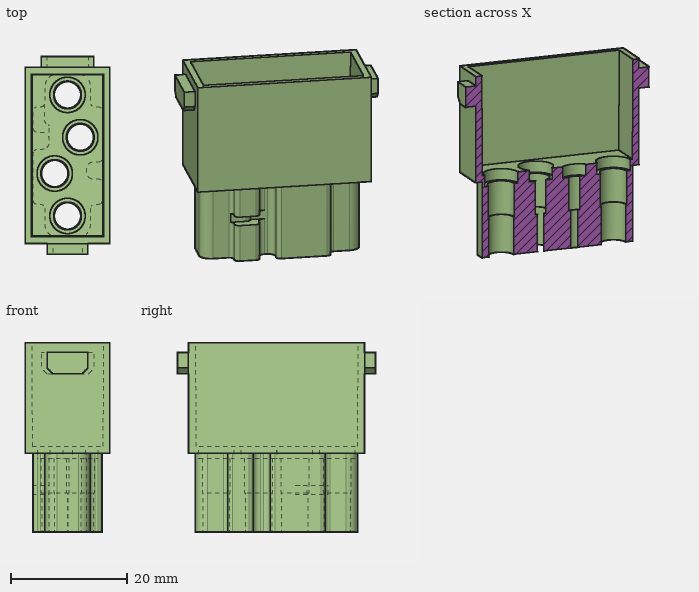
import cadquery as cq
import math


BODY_X = 14.6
OVERALL_Y = 34.1
TAB_REACH = 1.87
BODY_Y = OVERALL_Y - 2 * TAB_REACH
BODY_HEIGHT = 19.05
OVERALL_HEIGHT = 32.6
STEM_HEIGHT = OVERALL_HEIGHT - BODY_HEIGHT

CAVITY_X = 12.4
CAVITY_Y = 28.0
FLOOR_THICKNESS = 1.2
CAVITY_DEPTH = BODY_HEIGHT - FLOOR_THICKNESS
CAVITY_INSET = 0.13
CAVITY_DRAFT = math.degrees(math.atan(CAVITY_INSET / CAVITY_DEPTH))

FRONT_TAB_WIDTH = 7.05
REAR_TAB_WIDTH = 9.1
TAB_HEIGHT = 3.7
TAB_DROP = 1.65
TAB_CHAMFER = 1.0

SPINE_X = 7.8
SPINE_Y = 28.0
SPINE_CORNER_RADIUS = 2.05
MIDDLE_X = 11.95
MIDDLE_Y = 16.8
SMALL_RADIUS = 0.77

TROUGH_START_Y = 1.1
TROUGH_END_Y = 4.02
TROUGH_FLOOR_X = -3.2
TROUGH_FLOOR_RADIUS = 1.2

SLOT_ABOVE_STEM_END = 6.5
SLOT_HEIGHT = 1.55
SLOT_SHELF_X = -4.0
SLOT_SHELF_Y = 6.2
SLOT_CORNER_RADIUS = 1.0

OUTER_BORE_Y = 10.42
INNER_BORE_X = 2.2
INNER_BORE_Y = 3.12
BORE_CENTRES = [
    (0, OUTER_BORE_Y),
    (INNER_BORE_X, INNER_BORE_Y),
    (-INNER_BORE_X, -INNER_BORE_Y),
    (0, -OUTER_BORE_Y),
]
COUNTERBORE_DIAMETER = 6.1
COUNTERBORE_DEPTH = 2.0
BORE_DIAMETER = 4.8
BORE_END_DIAMETER = 4.55
BORE_END_LENGTH = STEM_HEIGHT / 2

HALF_TURN = 180
SELECT_TOLERANCE = 0.01


def block(x_start, x_end, y_start, y_end, z_start, z_end):
    """Box between the given limits."""
    size = (x_end - x_start, y_end - y_start, z_end - z_start)
    return cq.Workplane("XY").box(*size, centered=False).translate((x_start, y_start, z_start))


def half_turned(shape):
    """Copy of a shape turned half a turn about Z."""
    return shape.rotate((0, 0, 0), (0, 0, 1), HALF_TURN)


def fillet_upright(solid, x, y, radius):
    """Round the one vertical edge at (x, y)."""
    reach = SELECT_TOLERANCE
    near_edge = cq.selectors.BoxSelector(
        (x - reach, y - reach, -OVERALL_HEIGHT),
        (x + reach, y + reach, OVERALL_HEIGHT),
    )
    return solid.edges("|Z").edges(near_edge).fillet(radius)


def make_body():
    body = cq.Workplane("XY").rect(BODY_X, BODY_Y).extrude(BODY_HEIGHT)
    cavity = (
        cq.Workplane("XY", origin=(0, 0, BODY_HEIGHT))
        .rect(CAVITY_X, CAVITY_Y)
        .extrude(-CAVITY_DEPTH, taper=CAVITY_DRAFT)
    )
    return body.cut(cavity)


def make_tab(width):
    """Latch tab on the -Y end, with its lower corners chamfered."""
    top = BODY_HEIGHT - TAB_DROP
    tab = block(
        -width / 2, width / 2,
        -OVERALL_Y / 2, -BODY_Y / 2,
        top - TAB_HEIGHT, top,
    )
    return tab.faces("<Z").edges("|Y").chamfer(TAB_CHAMFER)


def make_stem():
    """Stem with both troughs cut and all its upright corners rounded."""
    stem = cq.Workplane("XY").rect(SPINE_X, SPINE_Y).extrude(-STEM_HEIGHT)
    stem = stem.edges("|Z").fillet(SPINE_CORNER_RADIUS)
    middle = cq.Workplane("XY").rect(MIDDLE_X, MIDDLE_Y).extrude(-STEM_HEIGHT)
    stem = stem.union(middle)

    trough = block(-MIDDLE_X / 2, TROUGH_FLOOR_X, TROUGH_START_Y, TROUGH_END_Y, -STEM_HEIGHT, 0)
    stem = stem.cut(trough).cut(half_turned(trough))

    flank_x = -MIDDLE_X / 2
    flank_corners = [
        (flank_x, -MIDDLE_Y / 2, SMALL_RADIUS),
        (flank_x, TROUGH_START_Y, SMALL_RADIUS),
        (flank_x, TROUGH_END_Y, SMALL_RADIUS),
        (flank_x, MIDDLE_Y / 2, SMALL_RADIUS),
        (-SPINE_X / 2, -MIDDLE_Y / 2, SMALL_RADIUS),
        (-SPINE_X / 2, MIDDLE_Y / 2, SMALL_RADIUS),
        (TROUGH_FLOOR_X, TROUGH_START_Y, TROUGH_FLOOR_RADIUS),
        (TROUGH_FLOOR_X, TROUGH_END_Y, TROUGH_FLOOR_RADIUS),
    ]
    for x, y, radius in flank_corners:
        stem = fillet_upright(stem, x, y, radius)
        stem = fillet_upright(stem, -x, -y, radius)
    return stem


def make_slot():
    """Cross slot: flush with the trough floor, rounded step up to a shelf, then out past the rib."""
    start_y = (TROUGH_START_Y + TROUGH_END_Y) / 2
    arc_centre_x = SLOT_SHELF_X + SLOT_CORNER_RADIUS

    def arc_y(x):
        return SLOT_SHELF_Y - math.sqrt(SLOT_CORNER_RADIUS**2 - (x - arc_centre_x) ** 2)

    arc_middle_x = (SLOT_SHELF_X + TROUGH_FLOOR_X) / 2
    return (
        cq.Workplane("XY", origin=(0, 0, SLOT_ABOVE_STEM_END - STEM_HEIGHT))
        .moveTo(-BODY_X / 2, start_y)
        .lineTo(TROUGH_FLOOR_X, start_y)
        .lineTo(TROUGH_FLOOR_X, arc_y(TROUGH_FLOOR_X))
        .threePointArc((arc_middle_x, arc_y(arc_middle_x)), (SLOT_SHELF_X, SLOT_SHELF_Y))
        .lineTo(SLOT_SHELF_X, BODY_Y / 2)
        .lineTo(-BODY_X / 2, BODY_Y / 2)
        .close()
        .extrude(SLOT_HEIGHT)
    )


def make_bores():
    """Stepped contact bores: counterbore at the cavity floor, bore, narrower end in the stem."""
    steps = [
        (COUNTERBORE_DIAMETER, FLOOR_THICKNESS - COUNTERBORE_DEPTH),
        (BORE_DIAMETER, BORE_END_LENGTH - STEM_HEIGHT),
        (BORE_END_DIAMETER, -STEM_HEIGHT),
    ]
    bores = cq.Workplane("XY")
    for diameter, bottom in steps:
        step = (
            cq.Workplane("XY", origin=(0, 0, bottom))
            .pushPoints(BORE_CENTRES)
            .circle(diameter / 2)
            .extrude(FLOOR_THICKNESS - bottom)
        )
        bores = bores.add(step)
    return bores.combine()


stem = make_stem().cut(make_slot())
body = make_body().union(make_tab(FRONT_TAB_WIDTH)).union(half_turned(make_tab(REAR_TAB_WIDTH)))
result = body.union(stem).cut(make_bores())